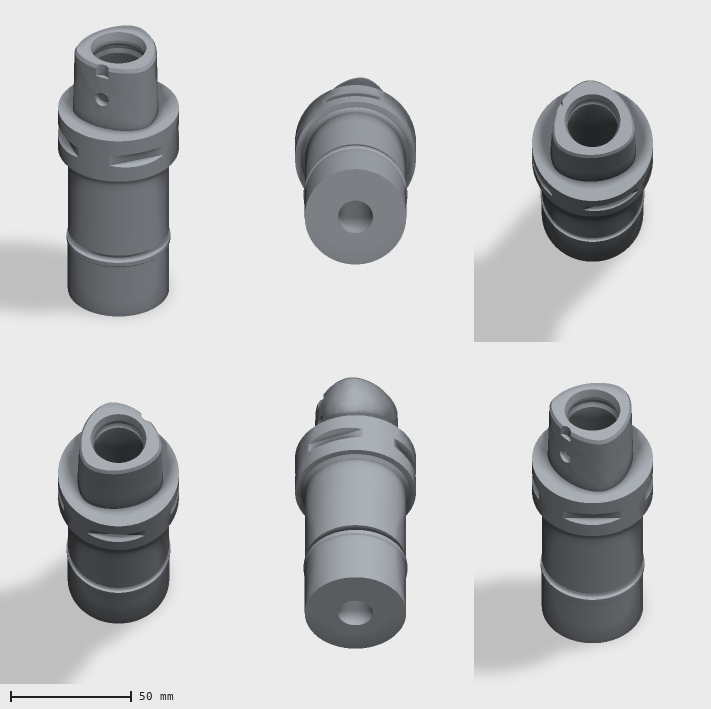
import cadquery as cq
import math

total_height = 120.0
shank_length = 29.8
flange_height = 20.2
flange_top = total_height - shank_length
flange_bottom = flange_top - flange_height
cone_height = 1.7
body_bottom = 30.4
nut_height = 27.1
nut_end_wall = 6.0
collet_length = 34.0

flange_radius = 50.0 / 2
body_radius = 41.9 / 2
cone_radius = body_radius + cone_height
neck_radius = 35.0 / 2
nut_radius = 42.0 / 2
nut_collar_radius = 43.0 / 2
nut_collar_height = 1.9

shank_base_radius = 35.4 / 2
shank_taper = 1 / 40
lobe_height = 1.2
shank_chamfer_height = 1.5
shank_chamfer_inset = 0.8
lobe_curve_points = 24

bore_radius = 10.5
mouth_radius = 11.5
mouth_depth = 3.5
groove_start = 4.9
groove_end = 9.6
groove_depth = 1.5

notch_radius = 3.2
notch_depth = 5.2
notch_center_y = -17.2
hole_radius = 3.1
hole_z = 104.0
hole_floor_y = -13.0

grip_count = 4
grip_floor_distance = 22.0
grip_floor_width = 4.5
grip_mouth_width = 6.6
grip_z = flange_bottom + flange_height / 2

collet_bore_radius = 7.2


def cylinder(radius, bottom, top):
    return cq.Workplane("XY").workplane(offset=bottom).circle(radius).extrude(top - bottom)


def revolve_profile(points):
    """Turn a closed (radius, height) outline around the Z axis."""
    return cq.Workplane("XZ").polyline(points).close().revolve(360, (0, 0), (0, 1))


def lobed_point(mean_radius, angle):
    """Point of a constant-width three-lobed curve with one lobe toward +Y."""
    turn = 3 * (angle - math.pi / 2)
    reach = mean_radius + lobe_height * math.cos(turn)
    slope = -3 * lobe_height * math.sin(turn)
    return (
        reach * math.cos(angle) - slope * math.sin(angle),
        reach * math.sin(angle) + slope * math.cos(angle),
    )


def lobed_outline(mean_radius, height):
    """Closed smooth wire of the three-lobed curve, starting on the -Y side."""
    step = 2 * math.pi / lobe_curve_points
    points = [lobed_point(mean_radius, index * step - math.pi / 2) for index in range(lobe_curve_points)]
    return cq.Workplane("XY", origin=(0, 0, height)).spline(points, periodic=True).wire().val()


def make_shank():
    end_radius = shank_base_radius - shank_taper * shank_length
    base_outline = lobed_outline(shank_base_radius, flange_top)
    end_outline = lobed_outline(end_radius, total_height)
    shank = cq.Workplane(cq.Solid.makeLoft([base_outline, end_outline], True))
    return shank.faces(">Z").edges().chamfer(shank_chamfer_height, shank_chamfer_inset)


def make_turned_body():
    return revolve_profile([
        (0, nut_end_wall),
        (neck_radius, nut_end_wall),
        (neck_radius, body_bottom),
        (body_radius, body_bottom),
        (body_radius, flange_bottom - cone_height),
        (cone_radius, flange_bottom),
        (flange_radius, flange_bottom),
        (flange_radius, flange_top),
        (0, flange_top),
    ])


def make_bore_cutter():
    groove_radius = bore_radius + groove_depth
    return revolve_profile([
        (0, nut_end_wall),
        (bore_radius, nut_end_wall),
        (bore_radius, total_height - groove_end),
        (groove_radius, total_height - groove_end + groove_depth),
        (groove_radius, total_height - groove_start - groove_depth),
        (bore_radius, total_height - groove_start),
        (bore_radius, total_height - mouth_depth),
        (mouth_radius, total_height),
        (0, total_height),
    ])


def make_notch_cutter():
    notch = cylinder(notch_radius, total_height - notch_depth, total_height)
    return notch.translate((0, notch_center_y, 0))


def make_hole_cutter():
    return (
        cq.Workplane("XZ", origin=(0, hole_floor_y, hole_z))
        .circle(hole_radius)
        .extrude(flange_radius)
    )


def make_grip_cutter(angle):
    """Trapezoidal groove across the flange rim, widening outward."""
    half_floor = grip_floor_width / 2
    half_mouth = grip_mouth_width / 2
    return (
        cq.Workplane("XZ")
        .polyline([
            (grip_floor_distance, grip_z - half_floor),
            (flange_radius, grip_z - half_mouth),
            (flange_radius, grip_z + half_mouth),
            (grip_floor_distance, grip_z + half_floor),
        ])
        .close()
        .extrude(flange_radius, both=True)
        .rotate((0, 0, 0), (0, 0, 1), angle)
    )


def make_holder():
    holder = make_turned_body().union(make_shank())
    holder = holder.cut(make_bore_cutter())
    holder = holder.cut(make_notch_cutter())
    holder = holder.cut(make_hole_cutter())
    pitch = 360 / grip_count
    for index in range(grip_count):
        holder = holder.cut(make_grip_cutter(pitch * (index + 0.5)))
    return holder


def make_nut():
    """Clamping nut: a cup around the holder neck, with a raised collar at its upper rim."""
    collar_bottom = nut_height - nut_collar_height
    collar_step = nut_collar_radius - nut_radius
    return revolve_profile([
        (bore_radius, 0),
        (nut_radius, 0),
        (nut_radius, collar_bottom - collar_step),
        (nut_collar_radius, collar_bottom),
        (nut_collar_radius, nut_height),
        (neck_radius, nut_height),
        (neck_radius, nut_end_wall),
        (bore_radius, nut_end_wall),
    ])


def make_collet():
    """Plain sleeve filling the lower end of the holder bore and the nut opening."""
    return cylinder(bore_radius, 0, collet_length).cut(cylinder(collet_bore_radius, 0, collet_length))


holder = make_holder()
nut = make_nut()
collet = make_collet()

result = cq.Compound.makeCompound([holder.val(), nut.val(), collet.val()])